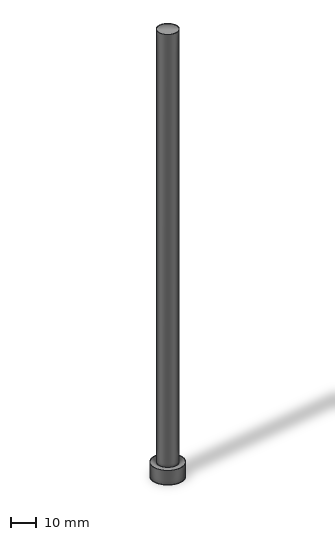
import cadquery as cq

total_length = 200.0
head_diameter = 14.0
head_height = 6.5
shank_diameter = 9.0


def make_head():
    """Cylindrical head at the bottom of the pin."""
    return cq.Workplane("XY").circle(head_diameter / 2).extrude(head_height)


def make_shank():
    """Straight shank running the full length, through the head."""
    return cq.Workplane("XY").circle(shank_diameter / 2).extrude(total_length)


result = make_head().union(make_shank())